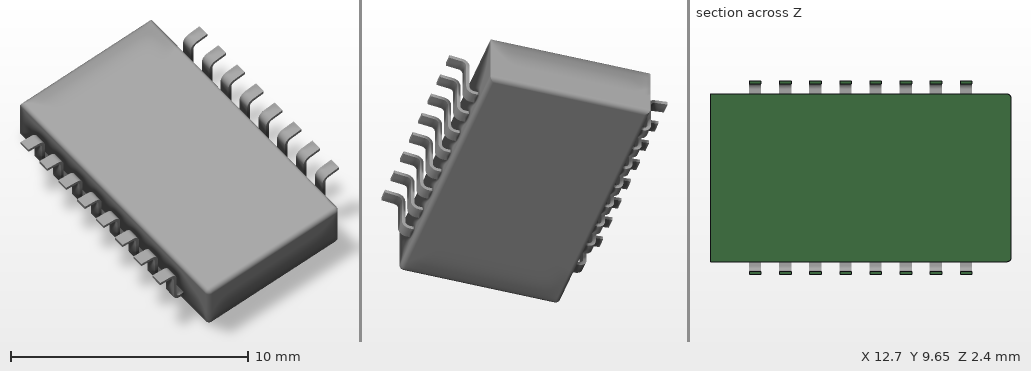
import cadquery as cq
import math

BODY_LENGTH = 12.7
OVERALL_WIDTH = 9.65
OVERALL_HEIGHT = 2.4

BODY_WIDTH = 7.1
BODY_HEIGHT = 2.35
EDGE_RADIUS = 0.2

LEADS_PER_SIDE = 8
LEAD_PITCH = 1.27
LEAD_WIDTH = 0.52
LEAD_THICKNESS = 0.15
SHELF_BOTTOM = 0.5
LEG_OUTER_FACE = 4.09
BEND_INNER_RADIUS = 0.2
FOOT_TILT = math.radians(6)
LEAD_EMBED = 0.13


def make_body():
    """Block with every edge rounded except the two upright edges at -X."""
    block = cq.Workplane("XY").box(
        BODY_LENGTH, BODY_WIDTH, BODY_HEIGHT, centered=(True, True, False)
    )
    sharp_edges = cq.selectors.StringSyntaxSelector("|Z and <X")
    rounded_edges = cq.selectors.SubtractSelector(
        cq.selectors.StringSyntaxSelector("%LINE"), sharp_edges
    )
    return block.edges(rounded_edges).fillet(EDGE_RADIUS)


def make_lead():
    """Lead on the +Y side, centered on X = 0."""
    bend_outer_radius = BEND_INNER_RADIUS + LEAD_THICKNESS
    leg_inner_face = LEG_OUTER_FACE - LEAD_THICKNESS
    shelf_top = SHELF_BOTTOM + LEAD_THICKNESS
    shelf_start = BODY_WIDTH / 2 - LEAD_EMBED

    normal_y, normal_z = -math.sin(FOOT_TILT), math.cos(FOOT_TILT)

    tip_y = OVERALL_WIDTH / 2
    tip_top_z = OVERALL_HEIGHT
    tip_bottom_z = tip_top_z - LEAD_THICKNESS / math.cos(FOOT_TILT)

    lower_center_y = leg_inner_face - BEND_INNER_RADIUS
    lower_center_z = shelf_top + BEND_INNER_RADIUS
    upper_center_y = LEG_OUTER_FACE + BEND_INNER_RADIUS
    foot_rise = (tip_y - upper_center_y - bend_outer_radius * normal_y) * math.tan(FOOT_TILT)
    upper_center_z = tip_top_z - foot_rise - bend_outer_radius * normal_z

    def upper_bend_end(radius):
        return (upper_center_y + radius * normal_y, upper_center_z + radius * normal_z)

    profile = (
        cq.Workplane("YZ")
        .moveTo(shelf_start, SHELF_BOTTOM)
        .lineTo(lower_center_y, SHELF_BOTTOM)
        .tangentArcPoint((LEG_OUTER_FACE, lower_center_z), relative=False)
        .lineTo(LEG_OUTER_FACE, upper_center_z)
        .tangentArcPoint(upper_bend_end(BEND_INNER_RADIUS), relative=False)
        .lineTo(tip_y, tip_bottom_z)
        .lineTo(tip_y, tip_top_z)
        .lineTo(*upper_bend_end(bend_outer_radius))
        .tangentArcPoint((leg_inner_face, upper_center_z), relative=False)
        .lineTo(leg_inner_face, lower_center_z)
        .tangentArcPoint((lower_center_y, shelf_top), relative=False)
        .lineTo(shelf_start, shelf_top)
        .close()
    )
    return profile.extrude(LEAD_WIDTH / 2, both=True)


result = make_body()
rear_lead = make_lead()
front_lead = rear_lead.mirror("XZ")
for index in range(LEADS_PER_SIDE):
    lead_x = (index - (LEADS_PER_SIDE - 1) / 2) * LEAD_PITCH
    for lead in (rear_lead, front_lead):
        result = result.union(lead.translate((lead_x, 0, 0)))